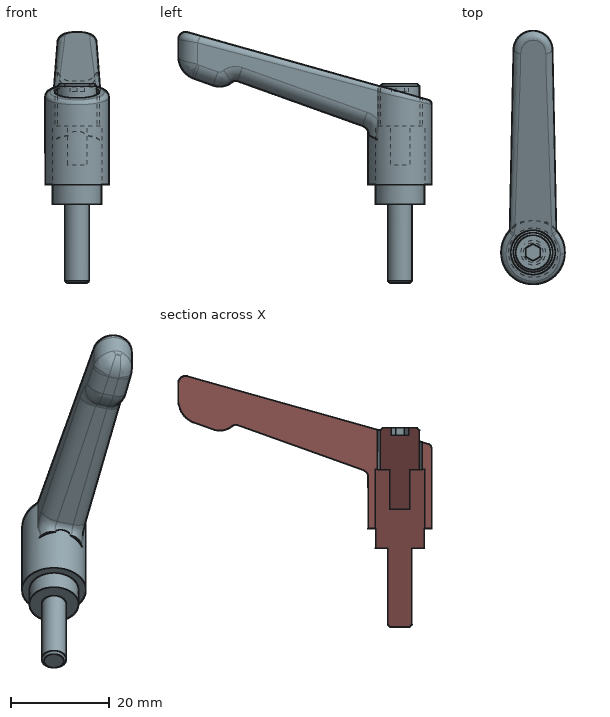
import cadquery as cq
import math

hub_diameter = 13.0
hub_radius = hub_diameter / 2
rim_fillet = 1.0

top_slope = math.tan(math.radians(15.7))
top_height_at_axis = 18.85

tip_reach = 45.0
tip_radius = 4.0
tip_centre_y = tip_reach - tip_radius
root_half_width = 4.85
tip_top_fillet = 1.5
root_corner_radius = 0.5
plan_height = 50.0

underside_angle = math.radians(19.7)
underside_height_at_hub = 11.5
underside_fillet = 3.0
hub_blend_radius = 2.0
hub_overlap = 0.2
hub_blend_end_slope = 0.5
knob_step_turn = math.radians(60)
knob_step_start = 33.0
knob_inner_radius = 1.0
knob_outer_radius = 4.0
tip_corner_radius = 5.0
tip_corner_turn = math.radians(55)

insert_diameter = 10.0
insert_bottom = -4.0
insert_top = 12.0
stud_diameter = 5.0
stud_bottom = -20.0
stud_chamfer = 0.5

screw_bore_diameter = 9.0
head_diameter = 8.0
head_top = 20.5
head_chamfer = 0.5
socket_across_flats = 3.0
socket_depth = 1.5
shank_diameter = 4.0
shank_length = 8.0

tolerance = 1e-3
side_edge_offset = 1.0
tip_edge_depth = 0.5


def top_height(y):
    return top_height_at_axis + top_slope * y


def cylinder(diameter, bottom, top):
    return cq.Workplane("XY").workplane(offset=bottom).circle(diameter / 2).extrude(top - bottom)


def moved(point, distance, angle):
    """Point a distance away, in a direction given from +Y towards +Z."""
    return (point[0] + distance * math.cos(angle), point[1] + distance * math.sin(angle))


def arc(sketch, centre, radius, start_angle, end_angle):
    """Add an arc about a centre, running on from the current end of the outline."""
    middle = moved(centre, radius, (start_angle + end_angle) / 2)
    return sketch.threePointArc(middle, moved(centre, radius, end_angle))


def arm_profile():
    """Side outline of the arm, from the hub axis out past the tip."""
    a = underside_angle
    down = a - math.pi / 2
    up = a + math.pi / 2

    corner = (hub_radius - hub_overlap, underside_height_at_hub - hub_overlap * math.tan(a))
    tangent = hub_blend_radius * math.tan((math.pi / 2 - a) / 2)
    blend_start = (corner[0], corner[1] - tangent)
    blend_centre = (corner[0] + hub_blend_radius, blend_start[1])
    axis_bottom = blend_start[1] - hub_blend_end_slope * hub_radius

    step_start = (knob_step_start, corner[1] + (knob_step_start - corner[0]) * math.tan(a))
    inner_centre = moved(step_start, knob_inner_radius, down)
    outer_centre = moved(inner_centre, knob_inner_radius + knob_outer_radius, up - knob_step_turn)
    knob_start = moved(outer_centre, knob_outer_radius, down)

    corner_centre_y = tip_reach - tip_corner_radius
    knob_end_y = corner_centre_y + tip_corner_radius * math.sin(a)
    knob_end = moved(knob_start, (knob_end_y - knob_start[0]) / math.cos(a), a)
    corner_centre = moved(knob_end, tip_corner_radius, up)
    corner_end_angle = down + tip_corner_turn
    corner_end = moved(corner_centre, tip_corner_radius, corner_end_angle)
    far_y = tip_reach + tip_radius
    far_bottom = corner_end[1] + (far_y - corner_end[0]) * math.tan(a + tip_corner_turn)

    s = cq.Workplane("YZ").moveTo(0, axis_bottom).lineTo(*blend_start)
    s = arc(s, blend_centre, hub_blend_radius, math.pi, up)
    s = s.lineTo(*step_start)
    s = arc(s, inner_centre, knob_inner_radius, up, up - knob_step_turn)
    s = arc(s, outer_centre, knob_outer_radius, down - knob_step_turn, down)
    s = s.lineTo(*knob_end)
    s = arc(s, corner_centre, tip_corner_radius, down, corner_end_angle)
    s = s.lineTo(far_y, far_bottom)
    return s.lineTo(far_y, top_height(far_y)).lineTo(0, top_height(0)).close()


def arm():
    """Sharp-edged arm: the tapered plan shape cut to the side profile."""
    taper = math.atan((root_half_width - tip_radius) / tip_centre_y)
    tangent_x = tip_radius * math.cos(taper)
    tangent_y = tip_centre_y + tip_radius * math.sin(taper)
    plan = (
        cq.Workplane("XY")
        .moveTo(-root_half_width, 0)
        .lineTo(-tangent_x, tangent_y)
        .threePointArc((0, tip_reach), (tangent_x, tangent_y))
        .lineTo(root_half_width, 0)
        .close()
        .extrude(plan_height)
    )
    side = arm_profile().extrude(hub_diameter, both=True)
    return plan.intersect(side)


def hub():
    """Cylinder cut off by the sloping top plane."""
    reach = hub_diameter
    below_top = (
        cq.Workplane("YZ")
        .moveTo(-reach, 0)
        .lineTo(reach, 0)
        .lineTo(reach, top_height(reach))
        .lineTo(-reach, top_height(-reach))
        .close()
        .extrude(reach, both=True)
    )
    return cylinder(hub_diameter, 0, plan_height).intersect(below_top)


def is_vertical(edge):
    box = edge.BoundingBox()
    return box.xlen < tolerance and box.ylen < tolerance


def on_top_plane(edge):
    return abs(edge.Center().z - top_height(edge.Center().y)) < tolerance


def is_tip(edge):
    return abs(edge.Center().x) < tolerance and edge.Center().y > tip_centre_y


def is_under_edge(edge):
    """Edges along both sides of the underside and around the bottom of the tip."""
    c = edge.Center()
    outside_hub = c.y > hub_radius - hub_overlap
    along_side = abs(c.x) > side_edge_offset
    around_tip = c.y > tip_reach - tip_edge_depth
    in_chain = outside_hub and (along_side or around_tip)
    return in_chain and not on_top_plane(edge) and not is_vertical(edge)


def is_root_corner(edge):
    """Upright inner corners where the arm sides meet the hub."""
    c = edge.Center()
    return is_vertical(edge) and 0 < c.y < hub_radius and abs(c.x) < root_half_width


def rounded_arm():
    blank = arm().val()
    return cq.Workplane(blank.fillet(underside_fillet, [e for e in blank.Edges() if is_under_edge(e)]))


def round_top(body):
    """Round the whole top rim; along the arm the radius grows towards the tip."""
    fillet = cq.occ_impl.shapes.BRepFilletAPI_MakeFillet(body.wrapped)
    first = min((e for e in body.Edges() if on_top_plane(e)), key=lambda e: e.Center().y)
    fillet.Add(first.wrapped)
    count = fillet.NbEdges(1)
    rim = [cq.Edge(fillet.Edge(1, i + 1)) for i in range(count)]
    for i in range(count):
        if is_tip(rim[i]):
            fillet.SetRadius(tip_top_fillet, 1, i + 1)
        elif is_tip(rim[(i + 1) % count]):
            fillet.SetRadius(rim_fillet, tip_top_fillet, 1, i + 1)
        elif is_tip(rim[i - 1]):
            fillet.SetRadius(tip_top_fillet, rim_fillet, 1, i + 1)
        else:
            fillet.SetRadius(rim_fillet, 1, i + 1)
    fillet.Build()
    return cq.Shape.cast(fillet.Shape())


def build_handle():
    body = rounded_arm().union(hub()).val().Solids()[0]
    body = body.fillet(root_corner_radius, [e for e in body.Edges() if is_root_corner(e)]).Solids()[0]
    rounded = cq.Workplane(round_top(body))
    bored = rounded.cut(cylinder(insert_diameter, 0, insert_top))
    return bored.cut(cylinder(screw_bore_diameter, insert_top, plan_height))


def build_insert():
    sleeve = cylinder(insert_diameter, insert_bottom, insert_top)
    stud = cylinder(stud_diameter, stud_bottom, insert_bottom).faces("<Z").chamfer(stud_chamfer)
    return sleeve.union(stud).cut(cylinder(shank_diameter, insert_top - shank_length, insert_top))


def build_screw():
    head = cylinder(head_diameter, insert_top, head_top).faces(">Z").chamfer(head_chamfer)
    socket = (
        cq.Workplane("XY")
        .workplane(offset=head_top - socket_depth)
        .polygon(6, socket_across_flats / math.cos(math.pi / 6))
        .extrude(socket_depth)
        .rotate((0, 0, 0), (0, 0, 1), 30)
    )
    shank = cylinder(shank_diameter, insert_top - shank_length, insert_top)
    return head.union(shank).cut(socket)


handle = build_handle()
insert = build_insert()
screw = build_screw()
result = cq.Compound.makeCompound([handle.val(), insert.val(), screw.val()])